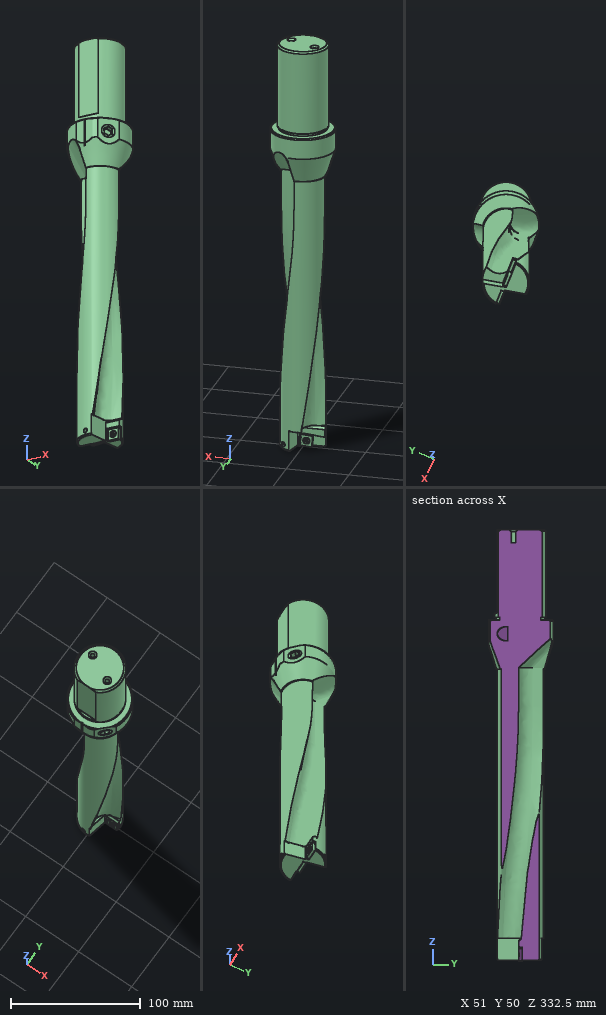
import cadquery as cq
import math


TOTAL_LENGTH = 332.5
SHANK_RADIUS = 20.0
SHANK_FLAT_DISTANCE = 18.0
SHANK_FLAT_BOTTOM = 267.3
SHANK_FLAT_RUNOUT = 1.3
SHANK_CHAMFER_RADIAL = 1.5
SHANK_CHAMFER_AXIAL = 1.3
COOLANT_HOLE_RADIUS = 1.5
COOLANT_HOLE_DEPTH = 10.0
COUNTERSINK_RADIUS = 3.15
COOLANT_HOLE_POSITION = (10.5, -5.3)

GROOVE_HEIGHT = 2.0
GROOVE_DEPTH = 1.0

COLLAR_DIAMETER = 51.0
COLLAR_RADIUS = COLLAR_DIAMETER / 2
COLLAR_TOP = 263.0
COLLAR_BOTTOM = 246.3
COLLAR_CHAMFER = 1.0
COLLAR_ACROSS_FLAT = 50.0
COLLAR_FLAT_DISTANCE = COLLAR_ACROSS_FLAT - COLLAR_RADIUS
MARK_WIDTH = 0.5
MARK_DEPTH = 0.5
CONE_BOTTOM = 225.0
CONE_BOTTOM_RADIUS = 18.5

PLUG_FLAT_DISTANCE = 24.0
PLUG_FLAT_ANGLE = -45.0
PLUG_HEIGHT = 252.3
PLUG_RADIUS = 5.3
PLUG_LENGTH = 10.0
PLUG_SOCKET_WIDTH = 6.5
PLUG_SOCKET_DEPTH = 5.0

DRILL_RADIUS = 18.0
TIP_CHAMFER = 1.0
TIP_FACE = 0.5
FLUTE_BOTTOM = 17.5
FLUTE_TOP = 226.0
FLUTE_WALL_OFFSET = 2.3
FLUTE_CORNER_RADIUS = 11.0
FLUTE_CORNER_CENTRE = (-13.3, -9.3)
FLUTE_REACH = 25.0
TWIST_RATE = 0.4813
TWIST_FADE_START = 139.5
TWIST_END = 202.8
FLUTE_SECTIONS = 22
FLUTE_EXIT = (-1.2, -5.5, 5.7)
FLUTE_EXIT_LENGTHS = 5.0

CHIP_LEDGE_CHAMFER = 2.0
CHIP_WALL_RUN = 3.3
INSERT_SIZE = 9.3
INSERT_THICKNESS = 2.5
INSERT_CORNER_RADIUS = 0.3
INNER_INSERT_TILT = 5.0
INSERT_FACE = -1.3
OUTER_INSERT_CENTRE = 12.3
INNER_INSERT_CENTRE = 3.0
POCKET_CLEARANCE = 1.0
SCREW_RADIUS = 1.5
SCREW_HEAD_RADIUS = 2.5
SCREW_HEAD_HEIGHT = 1.0
SCREW_LENGTH = 10.0
SCREW_SOCKET_RADIUS = 1.0
SCREW_SOCKET_DEPTH = 1.0

TILT = math.radians(INNER_INSERT_TILT)
INSERT_HEIGHT = INSERT_CORNER_RADIUS + (INSERT_SIZE / 2 - INSERT_CORNER_RADIUS) * (
    math.cos(TILT) + math.sin(TILT)
)
INSERT_PLACES = [
    (OUTER_INSERT_CENTRE, 0.0, 0.0),
    (INNER_INSERT_CENTRE, INNER_INSERT_TILT, 180.0),
]
Z_AXIS = ((0, 0, 0), (0, 0, 1))


def turned(shape, angle):
    return shape.rotate(*Z_AXIS, angle)


def placed_at_insert(shape, centre, tilt, turn):
    """Move a shape made around the middle of an insert's face to the insert's place."""
    tilted = shape.rotate((0, 0, 0), (0, 1, 0), tilt)
    return turned(tilted.translate((centre, INSERT_FACE, INSERT_HEIGHT)), turn)


def drill_blank():
    """Turned outline: drill, cone, collar, undercut and shank."""
    groove_radius = SHANK_RADIUS - GROOVE_DEPTH
    groove_top = COLLAR_TOP + GROOVE_HEIGHT
    return (
        cq.Workplane("XZ")
        .moveTo(0, TIP_FACE)
        .lineTo(DRILL_RADIUS - TIP_CHAMFER, TIP_FACE)
        .lineTo(DRILL_RADIUS, TIP_FACE + TIP_CHAMFER)
        .lineTo(DRILL_RADIUS, CONE_BOTTOM)
        .lineTo(CONE_BOTTOM_RADIUS, CONE_BOTTOM)
        .lineTo(COLLAR_RADIUS, COLLAR_BOTTOM)
        .lineTo(COLLAR_RADIUS, COLLAR_TOP - COLLAR_CHAMFER)
        .lineTo(COLLAR_RADIUS - COLLAR_CHAMFER, COLLAR_TOP)
        .lineTo(groove_radius, COLLAR_TOP)
        .lineTo(groove_radius, groove_top)
        .lineTo(SHANK_RADIUS, groove_top)
        .lineTo(SHANK_RADIUS, TOTAL_LENGTH - SHANK_CHAMFER_AXIAL)
        .lineTo(SHANK_RADIUS - SHANK_CHAMFER_RADIAL, TOTAL_LENGTH)
        .lineTo(0, TOTAL_LENGTH)
        .close()
        .revolve(360, (0, 0), (0, 1))
    )


def shank_flat():
    """Flat along the -Y side of the shank, with a sloped lower end."""
    outside = -(SHANK_RADIUS + SHANK_FLAT_RUNOUT)
    return (
        cq.Workplane("YZ")
        .moveTo(-SHANK_FLAT_DISTANCE, TOTAL_LENGTH)
        .lineTo(-SHANK_FLAT_DISTANCE, SHANK_FLAT_BOTTOM + SHANK_FLAT_RUNOUT)
        .lineTo(outside, SHANK_FLAT_BOTTOM)
        .lineTo(outside, TOTAL_LENGTH)
        .close()
        .extrude(SHANK_RADIUS, both=True)
    )


def coolant_holes():
    """Two countersunk holes in the end of the shank."""
    x, y = COOLANT_HOLE_POSITION
    return (
        cq.Workplane("XY", origin=(0, 0, TOTAL_LENGTH))
        .pushPoints([(x, y), (-x, -y)])
        .circle(COOLANT_HOLE_RADIUS)
        .extrude(-COOLANT_HOLE_DEPTH)
    ).union(
        cq.Workplane("XY", origin=(0, 0, TOTAL_LENGTH))
        .pushPoints([(x, y), (-x, -y)])
        .circle(COUNTERSINK_RADIUS)
        .extrude(COOLANT_HOLE_RADIUS - COUNTERSINK_RADIUS, taper=45)
    )


def collar_flat(distance):
    """Block beyond a flat on the -Y side of the collar and cone."""
    depth = COLLAR_RADIUS - distance
    return cq.Workplane("XY", origin=(0, -distance - depth / 2, CONE_BOTTOM)).box(
        2 * COLLAR_RADIUS, depth, COLLAR_TOP - CONE_BOTTOM, centered=(True, True, False)
    )


def alignment_mark():
    """Narrow upright groove in the middle of the collar's -Y flat."""
    return cq.Workplane("XY", origin=(0, -COLLAR_FLAT_DISTANCE, CONE_BOTTOM)).box(
        MARK_WIDTH, 2 * MARK_DEPTH, COLLAR_TOP - CONE_BOTTOM, centered=(True, True, False)
    )


def plug_blank():
    """Plug cylinder going inwards from the angled collar flat."""
    blank = (
        cq.Workplane("XZ", origin=(0, -PLUG_FLAT_DISTANCE, PLUG_HEIGHT))
        .circle(PLUG_RADIUS)
        .extrude(-PLUG_LENGTH)
    )
    return turned(blank, PLUG_FLAT_ANGLE + 90)


def collar_plug():
    socket = (
        cq.Workplane("XZ", origin=(0, -PLUG_FLAT_DISTANCE, PLUG_HEIGHT))
        .polygon(6, PLUG_SOCKET_WIDTH, circumscribed=True)
        .extrude(-PLUG_SOCKET_DEPTH)
    )
    return plug_blank().cut(turned(socket, PLUG_FLAT_ANGLE + 90))


def twist_at(z):
    """Turn of the flute section in degrees: constant rate, fading out, then straight."""
    if z >= TWIST_END:
        return 0.0
    fade = TWIST_END - TWIST_FADE_START
    if z >= TWIST_FADE_START:
        return -TWIST_RATE * (TWIST_END - z) ** 2 / (2 * fade)
    return -TWIST_RATE * (fade / 2 + TWIST_FADE_START - z)


def flute_section(z):
    """Two straight walls joined by a quarter arc, closed outside the drill."""
    centre_x, centre_y = FLUTE_CORNER_CENTRE
    reach = FLUTE_CORNER_RADIUS * math.sqrt(0.5)
    wire = (
        cq.Workplane("XY")
        .moveTo(-FLUTE_REACH, centre_y + FLUTE_CORNER_RADIUS)
        .lineTo(centre_x, centre_y + FLUTE_CORNER_RADIUS)
        .threePointArc((centre_x + reach, centre_y + reach), (-FLUTE_WALL_OFFSET, centre_y))
        .lineTo(-FLUTE_WALL_OFFSET, -FLUTE_REACH)
        .lineTo(-FLUTE_REACH, -FLUTE_REACH)
        .close()
        .val()
    )
    return turned(wire, twist_at(z)).translate(cq.Vector(0, 0, z))


def flute():
    """Twisted flute and its slanted exit through the cone."""
    step = (FLUTE_TOP - FLUTE_BOTTOM) / (FLUTE_SECTIONS - 1)
    heights = [FLUTE_BOTTOM + step * i for i in range(FLUTE_SECTIONS)]
    twisted = cq.Solid.makeLoft([flute_section(z) for z in heights])
    leaving = cq.Solid.extrudeLinear(
        flute_section(FLUTE_TOP), [], cq.Vector(*FLUTE_EXIT) * FLUTE_EXIT_LENGTHS
    )
    return [twisted, leaving]


def chip_space(insert_centre):
    """Open space in front of an insert, with a chamfered ledge up to the flute."""
    wall_x = insert_centre - INSERT_SIZE / 2 - 2 * POCKET_CLEARANCE
    space = (
        cq.Workplane("XY")
        .moveTo(wall_x, INSERT_FACE)
        .lineTo(wall_x - CHIP_WALL_RUN, -DRILL_RADIUS)
        .lineTo(DRILL_RADIUS, -DRILL_RADIUS)
        .lineTo(DRILL_RADIUS, INSERT_FACE)
        .close()
        .extrude(FLUTE_BOTTOM)
    )
    ledge = (
        cq.Workplane("YZ", origin=(wall_x, 0, 0))
        .moveTo(INSERT_FACE, FLUTE_BOTTOM - CHIP_LEDGE_CHAMFER)
        .lineTo(INSERT_FACE + CHIP_LEDGE_CHAMFER, FLUTE_BOTTOM)
        .lineTo(INSERT_FACE, FLUTE_BOTTOM)
        .close()
        .extrude(DRILL_RADIUS - wall_x)
    )
    return space.union(ledge)


def insert_pocket():
    """Recess that seats an insert, open towards the tip and the outside."""
    start = INSERT_SIZE / 2 + POCKET_CLEARANCE
    return cq.Workplane("XY", origin=(-start, 0, -INSERT_SIZE)).box(
        start + DRILL_RADIUS, INSERT_THICKNESS, INSERT_SIZE + start, centered=False
    )


def screw_hole():
    """Hole for the insert screw, through the seat to the opposite side."""
    return cq.Workplane("XZ").circle(SCREW_RADIUS).extrude(-2 * DRILL_RADIUS)


def screw_blank():
    """Countersunk screw without its socket, head level with the insert face."""
    return (
        cq.Workplane("XY")
        .lineTo(SCREW_HEAD_RADIUS, 0)
        .lineTo(SCREW_RADIUS, SCREW_HEAD_HEIGHT)
        .lineTo(SCREW_RADIUS, SCREW_LENGTH)
        .lineTo(0, SCREW_LENGTH)
        .close()
        .revolve(360, (0, 0), (0, 1))
    )


def insert_screw():
    socket = cq.Workplane("XZ").circle(SCREW_SOCKET_RADIUS).extrude(-SCREW_SOCKET_DEPTH)
    return screw_blank().cut(socket)


def cutting_insert():
    plate = (
        cq.Workplane("XZ")
        .rect(INSERT_SIZE, INSERT_SIZE)
        .extrude(-INSERT_THICKNESS)
        .edges("|Y")
        .fillet(INSERT_CORNER_RADIUS)
    )
    return plate.cut(screw_blank())


def drill_body():
    body = drill_blank().cut(shank_flat()).cut(coolant_holes())
    body = body.cut(collar_flat(COLLAR_FLAT_DISTANCE)).cut(alignment_mark())
    body = body.cut(turned(collar_flat(PLUG_FLAT_DISTANCE), PLUG_FLAT_ANGLE + 90))
    body = body.cut(plug_blank())
    flute_stretches = flute()
    for centre, tilt, turn in INSERT_PLACES:
        for stretch in flute_stretches:
            body = body.cut(cq.Workplane(turned(stretch, turn)))
        body = body.cut(turned(chip_space(centre), turn))
        for cutter in (insert_pocket(), screw_hole()):
            body = body.cut(placed_at_insert(cutter, centre, tilt, turn))
    return body


body = drill_body()
plug = collar_plug()
inserts = [placed_at_insert(cutting_insert(), *place) for place in INSERT_PLACES]
screws = [placed_at_insert(insert_screw(), *place) for place in INSERT_PLACES]

result = cq.Compound.makeCompound(
    [body.val(), plug.val(), *[i.val() for i in inserts], *[s.val() for s in screws]]
)